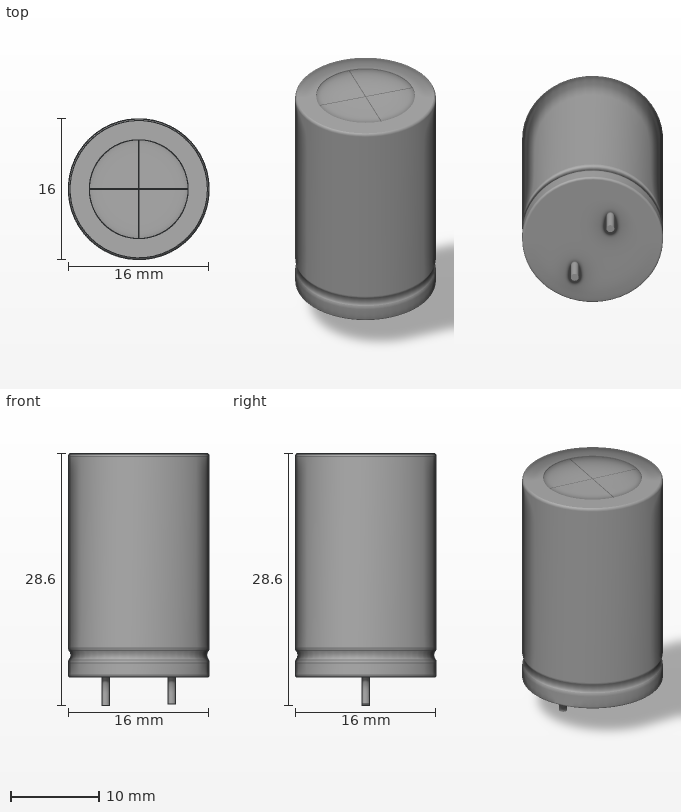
import cadquery as cq

body_radius = 8.0
body_height = 25.4
top_edge_drop = 0.35
top_edge_inset = 0.2
bottom_edge_radius = 0.25

crimp_start = 1.6
crimp_end = 3.32
crimp_arc_start = 1.97
crimp_arc_end = 3.05
crimp_shoulder_depth = 0.1
crimp_depth = 0.3

vent_radius = 5.6
vent_depth = 0.15
score_width = 0.1
score_depth = 0.1

lead_diameter = 0.9
lead_spacing = 7.5
long_lead = 28.62 - body_height
short_lead = long_lead - 0.17


def make_can():
    """Revolve the can half-section, with its rounded ends and crimp groove."""
    shoulder_radius = body_radius - crimp_shoulder_depth
    crimp_middle = (crimp_arc_start + crimp_arc_end) / 2
    upper_blend_height = crimp_end - crimp_arc_end
    upper_blend_radius = (upper_blend_height**2 + crimp_shoulder_depth**2) / (2 * crimp_shoulder_depth)
    section = (
        cq.Workplane("XZ")
        .lineTo(body_radius - bottom_edge_radius, 0)
        .radiusArc((body_radius, bottom_edge_radius), -bottom_edge_radius)
        .lineTo(body_radius, crimp_start)
        .tangentArcPoint((shoulder_radius, crimp_arc_start), relative=False)
        .threePointArc(
            (body_radius - crimp_depth, crimp_middle),
            (shoulder_radius, crimp_arc_end),
        )
        .radiusArc((body_radius, crimp_end), -upper_blend_radius)
        .lineTo(body_radius, body_height - top_edge_drop)
        .tangentArcPoint((body_radius - top_edge_inset, body_height), relative=False)
        .lineTo(0, body_height)
        .close()
    )
    return section.revolve(360, (0, 0, 0), (0, 1, 0))


def make_vent():
    """Shallow round recess, with a cross of fine grooves scored into its floor."""
    floor = cq.Workplane("XY").workplane(offset=body_height - vent_depth)
    vent = floor.circle(vent_radius).extrude(vent_depth)
    score_length = 2 * vent_radius
    cross = floor.rect(score_length, score_width).extrude(-score_depth)
    cross = cross.union(floor.rect(score_width, score_length).extrude(-score_depth))
    score_limit = floor.circle(vent_radius).extrude(-score_depth)
    return vent.union(cross.intersect(score_limit))


def make_lead(x, length):
    """Round lead hanging from the can base."""
    return cq.Workplane("XY").center(x, 0).circle(lead_diameter / 2).extrude(-length)


result = (
    make_can()
    .cut(make_vent())
    .union(make_lead(-lead_spacing / 2, long_lead))
    .union(make_lead(lead_spacing / 2, short_lead))
)